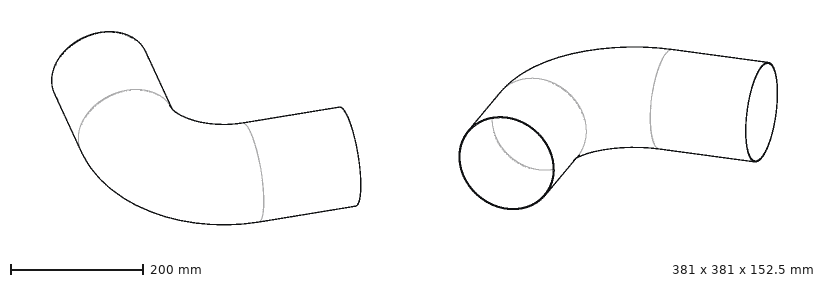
import cadquery as cq

overall_length = 381.0
outer_diameter = 152.5
inner_diameter = 149.0
bend_radius = 152.5

outer_radius = outer_diameter / 2
leg_length = overall_length - bend_radius - outer_radius
half_length = overall_length / 2

inlet_x = -half_length
bend_start_x = inlet_x + leg_length
axis_y = -half_length + outer_radius
bend_end_x = bend_start_x + bend_radius
bend_end_y = axis_y + bend_radius


def pipe_ring(plane):
    """Annular pipe section on the given plane."""
    return cq.Workplane(plane).circle(outer_radius).circle(inner_diameter / 2)


def section_plane(x, y, direction):
    """Plane across the pipe at (x, y), with its normal along the pipe."""
    return cq.Plane(origin=(x, y, 0), xDir=(0, 0, 1), normal=direction)


along_x = (1, 0, 0)
along_y = (0, 1, 0)

inlet_leg = pipe_ring(section_plane(inlet_x, axis_y, along_x)).extrude(leg_length)
outlet_leg = pipe_ring(section_plane(bend_end_x, bend_end_y, along_y)).extrude(leg_length)

elbow = pipe_ring(section_plane(bend_start_x, axis_y, along_x)).revolve(
    90, (0, -bend_radius, 0), (1, -bend_radius, 0)
)

result = inlet_leg.union(elbow).union(outlet_leg)